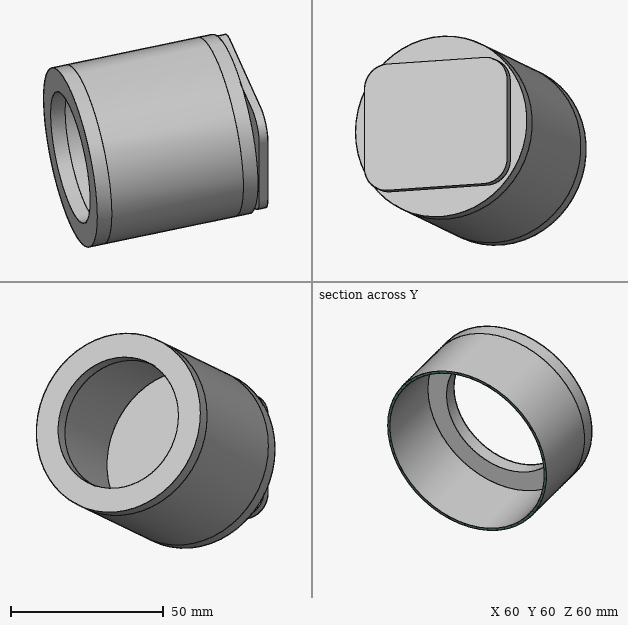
import cadquery as cq

outer_diameter = 60.0
ring_bore_diameter = 44.0
sleeve_wall = 1.0
total_length = 60.0
ring_length = 5.0
neck_diameter = 33.0
neck_length = 2.0
plate_width = 50.0
plate_height = 42.0
plate_thickness = 3.0
plate_corner_radius = 8.0

front_y = -total_length / 2
sleeve_front_y = front_y + ring_length
plate_front_y = total_length / 2 - plate_thickness
neck_front_y = plate_front_y - neck_length
cap_front_y = neck_front_y - ring_length


def section_at(y):
    """Workplane at station y whose extrusions grow toward +Y."""
    return cq.Workplane(cq.Plane(origin=(0, y, 0), xDir=(1, 0, 0), normal=(0, 1, 0)))


def cylinder(start_y, end_y, diameter):
    return section_at(start_y).circle(diameter / 2).extrude(end_y - start_y)


def tube(start_y, end_y, bore_diameter):
    return (
        section_at(start_y)
        .circle(outer_diameter / 2)
        .circle(bore_diameter / 2)
        .extrude(end_y - start_y)
    )


def make_mount():
    """Rounded rectangular plate carried on a round neck."""
    plate = (
        section_at(plate_front_y)
        .rect(plate_width, plate_height)
        .extrude(plate_thickness)
        .edges("|Y")
        .fillet(plate_corner_radius)
    )
    return plate.union(cylinder(neck_front_y, plate_front_y, neck_diameter))


front_ring = tube(front_y, sleeve_front_y, ring_bore_diameter)
sleeve = tube(sleeve_front_y, cap_front_y, outer_diameter - 2 * sleeve_wall)
end_cap = cylinder(cap_front_y, neck_front_y, outer_diameter)
mount = make_mount()

result = cq.Compound.makeCompound(
    [front_ring.val(), sleeve.val(), end_cap.val(), mount.val()]
)